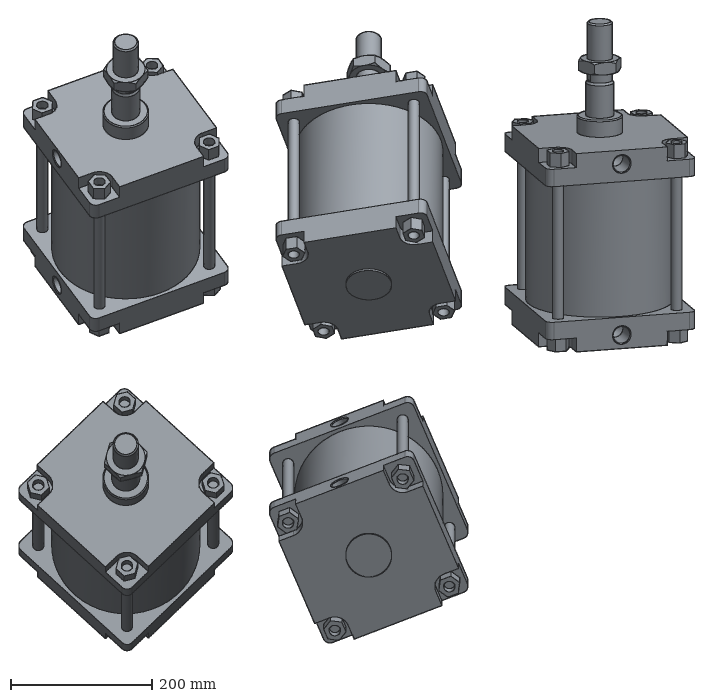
import cadquery as cq
import math

TOTAL_HEIGHT = 455.0

CAP_SIDE = 220.0
CAP_THICKNESS = 46.0
CAP_CORNER_RADIUS = 10.0
REAR_CAP_BOTTOM = 3.0
FRONT_CAP_TOP = 293.5
SPIGOT_DIAMETER = 65.0
COLLAR_TOP = 318.0
COLLAR_CHAMFER = 2.0

PORT_DIAMETER = 24.5
PORT_MOUTH_DIAMETER = 27.5
PORT_MOUTH_DEPTH = 1.5
PORT_DEPTH = 36.5
PORT_TIP_ANGLE = 118.0
PORT_OFFSET = 20.0

BARREL_DIAMETER = 210.0

TIE_ROD_DIAMETER = 16.0
TIE_ROD_PITCH = 175.0
TIE_NUT_FLATS = 27.8
TIE_NUT_HEIGHT = 20.5
TIE_NUT_RECESS_DEPTH = 13.5
POCKET_RADIUS = 20.5

ROD_DIAMETER = 40.0
THREAD_DIAMETER = 36.0
SHOULDER_Z = 369.0
SHOULDER_CHAMFER_HEIGHT = 3.5
THREAD_CHAMFER = 2.5
FLATS_WIDTH = 32.5
FLATS_BOTTOM = 370.0

LOCK_NUT_BOTTOM = 383.0
LOCK_NUT_HEIGHT = 18.0
LOCK_NUT_FLATS = 54.5
LOCK_NUT_CHAMFER_ANGLE = 30.0

REAR_CAP_TOP = REAR_CAP_BOTTOM + CAP_THICKNESS
FRONT_CAP_BOTTOM = FRONT_CAP_TOP - CAP_THICKNESS
TIE_ROD_OFFSET = TIE_ROD_PITCH / 2
TIE_ROD_CORNERS = [(-1, -1), (1, -1), (1, 1), (-1, 1)]
HEX_CORNER_RATIO = 1 / math.cos(math.pi / 6)


def cylinder(diameter, bottom, top):
    """Solid cylinder on the Z axis between two heights."""
    return cq.Workplane("XY").workplane(offset=bottom).circle(diameter / 2).extrude(top - bottom)


def hexagon(across_flats, bottom, height):
    """Hexagonal prism on the Z axis with two corners on the X axis."""
    return (
        cq.Workplane("XY").workplane(offset=bottom)
        .polygon(6, across_flats * HEX_CORNER_RATIO)
        .extrude(height)
    )


def tie_rod_centre(corner):
    """XY position of a tie rod, given the signs of its corner."""
    return (corner[0] * TIE_ROD_OFFSET, corner[1] * TIE_ROD_OFFSET)


def port_cutter(z):
    """Blind port from the -Y side: chamfered mouth, bore and conical tip."""
    radius = PORT_DIAMETER / 2
    mouth_radius = PORT_MOUTH_DIAMETER / 2
    tip_length = radius / math.tan(math.radians(PORT_TIP_ANGLE / 2))
    face = -CAP_SIDE / 2
    return (
        cq.Workplane("XY")
        .moveTo(0, face)
        .lineTo(mouth_radius, face)
        .lineTo(radius, face + PORT_MOUTH_DEPTH)
        .lineTo(radius, face + PORT_DEPTH)
        .lineTo(0, face + PORT_DEPTH + tip_length)
        .close()
        .revolve(360, (0, 0, 0), (0, 1, 0))
        .translate((0, 0, z))
    )


def corner_pocket(corner, bottom):
    """Corner notch for a tie rod end, rounded about the tie rod on its inner corner."""
    size = CAP_SIDE / 2 - TIE_ROD_OFFSET + POCKET_RADIUS
    middle = CAP_SIDE / 2 - size / 2
    notch = (
        cq.Workplane("XY")
        .box(size, size, TIE_NUT_HEIGHT, centered=(True, True, False))
        .edges("|Z and <X and <Y")
        .fillet(POCKET_RADIUS)
        .translate((middle, middle, bottom))
    )
    turn = math.degrees(math.atan2(corner[1], corner[0])) - 45
    return notch.rotate((0, 0, 0), (0, 0, 1), turn)


def end_cap(bottom, pocket_bottom, port_z):
    """Square end plate with a port, four corner pockets and four tie rod holes."""
    body = (
        cq.Workplane("XY").workplane(offset=bottom)
        .rect(CAP_SIDE, CAP_SIDE)
        .extrude(CAP_THICKNESS)
        .edges("|Z")
        .fillet(CAP_CORNER_RADIUS)
        .cut(port_cutter(port_z))
    )
    for corner in TIE_ROD_CORNERS:
        hole = cylinder(TIE_ROD_DIAMETER, bottom, bottom + CAP_THICKNESS)
        body = body.cut(corner_pocket(corner, pocket_bottom))
        body = body.cut(hole.translate((*tie_rod_centre(corner), 0)))
    return body


def make_rear_cap():
    """Rear end cap with a short centring spigot underneath."""
    plate = end_cap(REAR_CAP_BOTTOM, REAR_CAP_BOTTOM, REAR_CAP_BOTTOM + PORT_OFFSET)
    return plate.union(cylinder(SPIGOT_DIAMETER, 0, REAR_CAP_BOTTOM))


def make_front_cap():
    """Front end cap with a chamfered collar, bored through for the piston rod."""
    plate = end_cap(FRONT_CAP_BOTTOM, FRONT_CAP_TOP - TIE_NUT_HEIGHT, FRONT_CAP_TOP - PORT_OFFSET)
    collar = cylinder(SPIGOT_DIAMETER, FRONT_CAP_TOP, COLLAR_TOP).faces(">Z").chamfer(COLLAR_CHAMFER)
    bore = cylinder(ROD_DIAMETER, FRONT_CAP_BOTTOM, COLLAR_TOP)
    return plate.union(collar).cut(bore)


def make_barrel():
    """Round barrel between the two end caps."""
    return cylinder(BARREL_DIAMETER, REAR_CAP_TOP, FRONT_CAP_BOTTOM)


def make_tie_rod(corner):
    """Round rod with a recessed hexagon on each end; the two hexagons are a quarter turn apart."""
    top_corners_along_x = corner[0] * corner[1] < 0
    top_turn = 0 if top_corners_along_x else 90
    bottom_turn = 90 - top_turn
    axis = ((0, 0, 0), (0, 0, 1))
    top_nut_bottom = FRONT_CAP_TOP - TIE_NUT_HEIGHT
    rod = cylinder(TIE_ROD_DIAMETER, REAR_CAP_BOTTOM, FRONT_CAP_TOP)
    rod = rod.union(hexagon(TIE_NUT_FLATS, top_nut_bottom, TIE_NUT_HEIGHT).rotate(*axis, top_turn))
    rod = rod.union(hexagon(TIE_NUT_FLATS, REAR_CAP_BOTTOM, TIE_NUT_HEIGHT).rotate(*axis, bottom_turn))
    for recess_bottom in (REAR_CAP_BOTTOM, FRONT_CAP_TOP - TIE_NUT_RECESS_DEPTH):
        rod = rod.cut(cylinder(TIE_ROD_DIAMETER, recess_bottom, recess_bottom + TIE_NUT_RECESS_DEPTH))
    return rod.translate((*tie_rod_centre(corner), 0))


def make_piston_rod():
    """Stepped rod with a chamfered thread and two wrench flats below the lock nut."""
    rod_radius = ROD_DIAMETER / 2
    thread_radius = THREAD_DIAMETER / 2
    rod = (
        cq.Workplane("XZ")
        .moveTo(0, FRONT_CAP_BOTTOM)
        .lineTo(rod_radius, FRONT_CAP_BOTTOM)
        .lineTo(rod_radius, SHOULDER_Z - SHOULDER_CHAMFER_HEIGHT)
        .lineTo(thread_radius, SHOULDER_Z)
        .lineTo(thread_radius, TOTAL_HEIGHT - THREAD_CHAMFER)
        .lineTo(thread_radius - THREAD_CHAMFER, TOTAL_HEIGHT)
        .lineTo(0, TOTAL_HEIGHT)
        .close()
        .revolve(360, (0, 0, 0), (0, 1, 0))
    )
    height = LOCK_NUT_BOTTOM - FLATS_BOTTOM
    for side in (-1, 1):
        x = side * (FLATS_WIDTH + ROD_DIAMETER) / 2
        block = cq.Workplane("XY").box(ROD_DIAMETER, ROD_DIAMETER, height, centered=(True, True, False))
        rod = rod.cut(block.translate((x, 0, FLATS_BOTTOM)))
    return rod


def make_lock_nut():
    """Hexagonal nut with conical chamfers on both faces."""
    flat_radius = LOCK_NUT_FLATS / 2
    corner_radius = flat_radius * HEX_CORNER_RATIO
    chamfer_height = (corner_radius - flat_radius) * math.tan(math.radians(LOCK_NUT_CHAMFER_ANGLE))
    top = LOCK_NUT_BOTTOM + LOCK_NUT_HEIGHT
    envelope = (
        cq.Workplane("XZ")
        .moveTo(0, LOCK_NUT_BOTTOM)
        .lineTo(flat_radius, LOCK_NUT_BOTTOM)
        .lineTo(corner_radius, LOCK_NUT_BOTTOM + chamfer_height)
        .lineTo(corner_radius, top - chamfer_height)
        .lineTo(flat_radius, top)
        .lineTo(0, top)
        .close()
        .revolve(360, (0, 0, 0), (0, 1, 0))
    )
    blank = hexagon(LOCK_NUT_FLATS, LOCK_NUT_BOTTOM, LOCK_NUT_HEIGHT).intersect(envelope)
    return blank.cut(cylinder(THREAD_DIAMETER, LOCK_NUT_BOTTOM, top))


rear_cap = make_rear_cap()
front_cap = make_front_cap()
barrel = make_barrel()
piston_rod = make_piston_rod()
lock_nut = make_lock_nut()
tie_rods = [make_tie_rod(corner) for corner in TIE_ROD_CORNERS]

result = cq.Compound.makeCompound([
    rear_cap.val(),
    front_cap.val(),
    barrel.val(),
    piston_rod.val(),
    lock_nut.val(),
    *[tie_rod.val() for tie_rod in tie_rods],
])